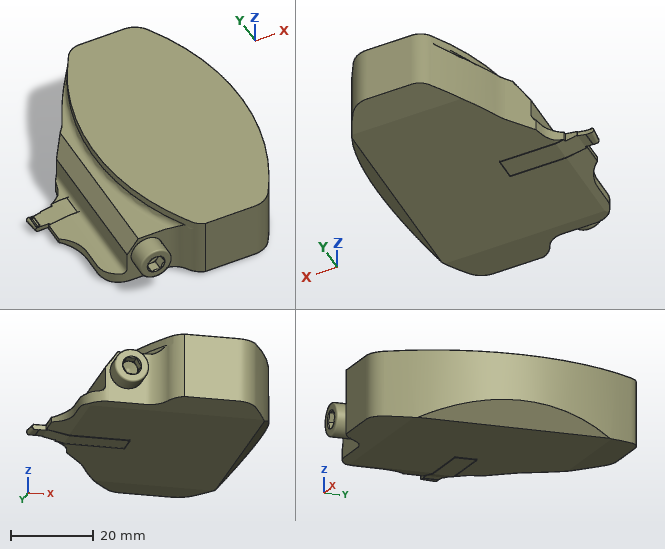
import cadquery as cq
import math

HEAD_HEIGHT = 17.1
HEAD_HALF_LENGTH = 35.0
HEAD_HALF_WIDTH = 20.2
LENS_RADIUS = 60.0
CORNER_RADIUS = 6.0
BACK_CORNER_RADIUS = 5.0
LENS_AXIS_X = LENS_RADIUS - HEAD_HALF_WIDTH

SIDE_CHAMFER = 5.45
END_RELIEF_START_Y = 25.75
END_RELIEF_RISE = 0.9

SHOULDER_Z = 13.4
COVE_RADIUS = 1.75
SHOULDER_FRONT_Y = -28.9
BLEND_RADIUS = 5.2
FRONT_CORNER_START_Y = -31.85
FRONT_CORNER_MID_Y = -33.45
FRONT_CORNER_END_X = -7.7
BACK_ARC_MID = (-16.25, 24.6)
BACK_ARC_END = (-20.4, 16.8)
BACK_SLOPE_START = (-21.7, 14.5)
BACK_SLOPE_END = (-26.75, 7.9)

WALL_X = -25.9
WALL_CHAMFER_WIDTH = 3.0
WALL_CHAMFER_BOTTOM_Z = 9.25
WALL_FOOT_RADIUS = 1.5

LEDGE_TOP_Z = 3.0
LEDGE_TIP_X = -34.8
LEDGE_TIP_FRONT_Y = -9.7
LEDGE_SIDE_X = -31.0
LEDGE_HOLLOW_RADIUS = 10.0
LEDGE_CORNER_RADIUS = 6.0
LEDGE_BACK_NECK = (-27.3, 5.7)
TAPER_START_X = -29.0
TAPER_END_X = -34.45
TIP_BOTTOM_Z = 0.9
TIP_TOP_Z = 2.2

BLADE_BOTTOM_Z = -0.2
BLADE_TOP_Z = 3.1
BLADE_INNER_X = -13.8
BLADE_FRONT_Y = -4.3
BLADE_BACK_Y = 1.5
BLADE_STEP_X = -31.2
BLADE_STEP_BACK_Y = 0.85
NECK_FRONT_Y = -3.85
NECK_BACK_Y = 0.2
NECK_BACK_START_Y = 0.6
CUTTER_INNER_X = -36.5
CUTTER_TIP_X = -38.6
CUTTER_SKEW = 0.5
CUTTER_BOTTOM_Z = 0.85
CUTTER_TOP_Z = 2.3
CUTTER_NOSE_RADIUS = 0.6
CHIP_GROOVE_OUTER_X = -37.8
CHIP_GROOVE_INNER_X = -36.7
CHIP_GROOVE_FLOOR_Z = 1.9
CHIP_GROOVE_END_WALL = 0.35

SCREW_X = -20.6
SCREW_Z = 8.2
SCREW_DIAMETER = 8.5
SCREW_LENGTH = 5.1
SCREW_EDGE = 0.4
SOCKET_CORNERS = 4.75
SOCKET_DEPTH = 2.8
SOCKET_CONE_DEPTH = 1.05

MARGIN = 7.0


def along_y(outline, y_from, y_to):
    """Extrude a closed XZ outline from y_from to y_to."""
    return outline.extrude(y_from - y_to).translate((0, y_from, 0))


def lens_corner(radius):
    """Tangent points and middle of a rounding at the (+X, +Y) corner of the head."""
    centre_y = HEAD_HALF_LENGTH - radius
    centre_distance = LENS_RADIUS - radius
    centre_x = math.sqrt(centre_distance**2 - centre_y**2) - LENS_AXIS_X
    side_angle = math.atan2(centre_y, centre_x + LENS_AXIS_X)
    middle_angle = (side_angle + math.pi / 2) / 2

    def on_corner(angle):
        return (centre_x + radius * math.cos(angle), centre_y + radius * math.sin(angle))

    return on_corner(side_angle), on_corner(middle_angle), on_corner(math.pi / 2)


def lens_side_x(y):
    """X of the bulging -X side of the head at a given Y."""
    return LENS_AXIS_X - math.sqrt(LENS_RADIUS**2 - y**2)


def shoulder_blend():
    """Points of the concave rounding from the lens side, tangent to it, to the shoulder front."""
    centre_y = SHOULDER_FRONT_Y - BLEND_RADIUS
    side_angle = math.asin(-centre_y / (LENS_RADIUS + BLEND_RADIUS))
    centre_x = LENS_AXIS_X - (LENS_RADIUS + BLEND_RADIUS) * math.cos(side_angle)

    def on_blend(angle):
        return (centre_x + BLEND_RADIUS * math.cos(angle), centre_y + BLEND_RADIUS * math.sin(angle))

    return on_blend(side_angle), on_blend((side_angle + math.pi / 2) / 2), on_blend(math.pi / 2)


def ledge_hollow():
    """Middle and end of the concave arc from the ledge tip, tangent to the ledge side."""
    width = LEDGE_SIDE_X - LEDGE_TIP_X
    turn = math.acos(1 - width / LEDGE_HOLLOW_RADIUS)
    centre_x = LEDGE_SIDE_X - LEDGE_HOLLOW_RADIUS
    end_y = LEDGE_TIP_FRONT_Y - LEDGE_HOLLOW_RADIUS * math.sin(turn)
    middle = (
        centre_x + LEDGE_HOLLOW_RADIUS * math.cos(turn / 2),
        end_y + LEDGE_HOLLOW_RADIUS * math.sin(turn / 2),
    )
    return middle, (LEDGE_SIDE_X, end_y)


def holder_plan():
    """Plan outline of head, shoulder and ledge together, extruded to full height."""
    side, corner, flat = lens_corner(CORNER_RADIUS)
    back_side, back_corner, back_flat = lens_corner(BACK_CORNER_RADIUS)
    blend_start, blend_mid, blend_end = shoulder_blend()
    front_corner_start = (lens_side_x(FRONT_CORNER_START_Y), FRONT_CORNER_START_Y)
    front_corner_mid = (lens_side_x(FRONT_CORNER_MID_Y), FRONT_CORNER_MID_Y)
    front_side_mid_y = (blend_start[1] + FRONT_CORNER_START_Y) / 2
    hollow_mid, hollow_end = ledge_hollow()
    ledge_corner_x = LEDGE_SIDE_X + LEDGE_CORNER_RADIUS
    ledge_corner_y = SHOULDER_FRONT_Y + LEDGE_CORNER_RADIUS
    diagonal = LEDGE_CORNER_RADIUS * math.sqrt(0.5)
    return (
        cq.Workplane("XY")
        .moveTo(flat[0], -flat[1])
        .threePointArc((corner[0], -corner[1]), (side[0], -side[1]))
        .threePointArc((HEAD_HALF_WIDTH, 0), side)
        .threePointArc(corner, flat)
        .lineTo(-back_flat[0], back_flat[1])
        .threePointArc((-back_corner[0], back_corner[1]), (-back_side[0], back_side[1]))
        .threePointArc(BACK_ARC_MID, BACK_ARC_END)
        .tangentArcPoint(BACK_SLOPE_START, relative=False)
        .lineTo(*BACK_SLOPE_END)
        .lineTo(*LEDGE_BACK_NECK)
        .tangentArcPoint((BLADE_STEP_X, BLADE_BACK_Y), relative=False)
        .lineTo(BLADE_STEP_X, BLADE_FRONT_Y)
        .lineTo(LEDGE_TIP_X, BLADE_FRONT_Y)
        .lineTo(LEDGE_TIP_X, LEDGE_TIP_FRONT_Y)
        .threePointArc(hollow_mid, hollow_end)
        .lineTo(LEDGE_SIDE_X, ledge_corner_y)
        .threePointArc(
            (ledge_corner_x - diagonal, ledge_corner_y - diagonal), (ledge_corner_x, SHOULDER_FRONT_Y)
        )
        .lineTo(*blend_end)
        .threePointArc(blend_mid, blend_start)
        .threePointArc((lens_side_x(front_side_mid_y), front_side_mid_y), front_corner_start)
        .threePointArc(front_corner_mid, (FRONT_CORNER_END_X, -HEAD_HALF_LENGTH))
        .close()
        .extrude(HEAD_HEIGHT)
    )


def rim_cut():
    """Ring around the -X lens side that lowers the shoulder and leaves a cove under the rim."""
    cove_top = SHOULDER_Z + COVE_RADIUS
    cove_outer = LENS_RADIUS + COVE_RADIUS
    bulge = COVE_RADIUS * (1 - math.sqrt(0.5))
    outer = LENS_RADIUS + 3 * MARGIN
    return (
        cq.Workplane("XZ")
        .moveTo(LENS_RADIUS, HEAD_HEIGHT + MARGIN)
        .lineTo(LENS_RADIUS, cove_top)
        .threePointArc((LENS_RADIUS + bulge, SHOULDER_Z + bulge), (cove_outer, SHOULDER_Z))
        .lineTo(outer, SHOULDER_Z)
        .lineTo(outer, HEAD_HEIGHT + MARGIN)
        .close()
        .revolve(360, (0, 0, 0), (0, 1, 0))
        .translate((LENS_AXIS_X, 0, 0))
    )


def ledge_cut():
    """Space above the ledge: taper, floor, foot rounding, upright wall and its chamfer."""
    foot_x = WALL_X - WALL_FOOT_RADIUS
    bulge = WALL_FOOT_RADIUS * (1 - math.sqrt(0.5))
    outline = (
        cq.Workplane("XZ")
        .moveTo(LEDGE_TIP_X - MARGIN, TIP_TOP_Z)
        .lineTo(TAPER_END_X, TIP_TOP_Z)
        .lineTo(TAPER_START_X, LEDGE_TOP_Z)
        .lineTo(foot_x, LEDGE_TOP_Z)
        .threePointArc((WALL_X - bulge, LEDGE_TOP_Z + bulge), (WALL_X, LEDGE_TOP_Z + WALL_FOOT_RADIUS))
        .lineTo(WALL_X, WALL_CHAMFER_BOTTOM_Z)
        .lineTo(WALL_X + WALL_CHAMFER_WIDTH, SHOULDER_Z)
        .lineTo(WALL_X + WALL_CHAMFER_WIDTH, HEAD_HEIGHT + MARGIN)
        .lineTo(LEDGE_TIP_X - MARGIN, HEAD_HEIGHT + MARGIN)
        .close()
    )
    return along_y(outline, -HEAD_HALF_LENGTH, HEAD_HALF_LENGTH)


def underside_taper(bottom_z):
    """Wedge under the thin end of the ledge or blade, whose flat underside is at bottom_z."""
    outline = cq.Workplane("XZ").polyline([
        (TAPER_START_X, bottom_z),
        (TAPER_END_X, TIP_BOTTOM_Z),
        (LEDGE_TIP_X - MARGIN, TIP_BOTTOM_Z),
        (LEDGE_TIP_X - MARGIN, bottom_z - MARGIN),
        (TAPER_START_X, bottom_z - MARGIN),
    ]).close()
    return along_y(outline, -HEAD_HALF_LENGTH, HEAD_HALF_LENGTH)


def side_chamfer_cut():
    """45 degree wedge under the +X side of the head."""
    outline = cq.Workplane("XZ").polyline([
        (HEAD_HALF_WIDTH - SIDE_CHAMFER, 0),
        (HEAD_HALF_WIDTH + MARGIN, SIDE_CHAMFER + MARGIN),
        (HEAD_HALF_WIDTH + MARGIN, 0),
    ]).close()
    return along_y(outline, -HEAD_HALF_LENGTH, HEAD_HALF_LENGTH)


def end_relief_cut():
    """Shallow wedge that lifts the underside towards the +Y end."""
    return (
        cq.Workplane("YZ")
        .polyline([
            (END_RELIEF_START_Y, 0),
            (HEAD_HALF_LENGTH, END_RELIEF_RISE),
            (HEAD_HALF_LENGTH, 0),
        ])
        .close()
        .extrude(HEAD_HALF_LENGTH, both=True)
    )


def screw_socket():
    """Hexagon socket with a countersunk mouth and a conical floor, opening towards -Y."""
    corner_radius = SOCKET_CORNERS / 2
    flat_radius = corner_radius * math.cos(math.pi / 6)
    mouth_depth = corner_radius - flat_radius
    mouth_y = SHOULDER_FRONT_Y - SCREW_LENGTH
    hexagon = (
        cq.Workplane("XZ", origin=(SCREW_X, mouth_y, SCREW_Z))
        .polygon(6, SOCKET_CORNERS)
        .extrude(-SOCKET_DEPTH)
    )
    mouth_and_floor = (
        cq.Workplane("XY")
        .polyline([
            (0, 0),
            (corner_radius, 0),
            (flat_radius, mouth_depth),
            (flat_radius, SOCKET_DEPTH),
            (0, SOCKET_DEPTH + SOCKET_CONE_DEPTH),
        ])
        .close()
        .revolve(360, (0, 0, 0), (0, 1, 0))
        .translate((SCREW_X, mouth_y, SCREW_Z))
    )
    return hexagon.union(mouth_and_floor)


def screw_head():
    """Cylindrical screw head standing on the front of the shoulder."""
    return (
        cq.Workplane("XZ", origin=(SCREW_X, SHOULDER_FRONT_Y, SCREW_Z))
        .circle(SCREW_DIAMETER / 2)
        .extrude(SCREW_LENGTH)
        .faces("<Y")
        .edges()
        .fillet(SCREW_EDGE)
        .cut(screw_socket())
    )


def blade_blank():
    """Straight shank of the blade, from its inner end to the outer taper end."""
    return (
        cq.Workplane("XY", origin=(0, 0, BLADE_BOTTOM_Z))
        .polyline([
            (BLADE_INNER_X, BLADE_FRONT_Y),
            (BLADE_INNER_X, BLADE_BACK_Y),
            (BLADE_STEP_X, BLADE_BACK_Y),
            (BLADE_STEP_X, BLADE_STEP_BACK_Y),
            (TAPER_END_X, BLADE_STEP_BACK_Y),
            (TAPER_END_X, BLADE_FRONT_Y),
        ])
        .close()
        .extrude(BLADE_TOP_Z - BLADE_BOTTOM_Z)
    )


def blade_upper_taper():
    """Wedge above the thin end of the blade."""
    outline = cq.Workplane("XZ").polyline([
        (TAPER_START_X, BLADE_TOP_Z),
        (TAPER_END_X, TIP_TOP_Z),
        (TAPER_END_X, BLADE_TOP_Z),
    ]).close()
    return along_y(outline, BLADE_FRONT_Y, BLADE_BACK_Y)


def blade_neck():
    """Thin neck between the shank and the cutter."""
    return (
        cq.Workplane("XY", origin=(0, 0, TIP_BOTTOM_Z))
        .polyline([
            (TAPER_END_X, NECK_FRONT_Y),
            (TAPER_END_X, NECK_BACK_START_Y),
            (CUTTER_INNER_X, NECK_BACK_Y),
            (CUTTER_INNER_X, NECK_FRONT_Y),
        ])
        .close()
        .extrude(TIP_TOP_Z - TIP_BOTTOM_Z)
    )


def cutter():
    """Rounded cutting nose at the end of the neck, with a skewed front edge."""
    return (
        cq.Workplane("XY", origin=(0, 0, CUTTER_BOTTOM_Z))
        .polyline([
            (CUTTER_INNER_X, NECK_FRONT_Y),
            (CUTTER_INNER_X, NECK_BACK_Y),
            (CUTTER_TIP_X, NECK_BACK_Y),
            (CUTTER_TIP_X + CUTTER_SKEW, NECK_FRONT_Y),
        ])
        .close()
        .extrude(CUTTER_TOP_Z - CUTTER_BOTTOM_Z)
        .faces("<X")
        .edges("not |Z")
        .fillet(CUTTER_NOSE_RADIUS)
    )


def behind_cutting_lip():
    """Slab that lowers the cutter to the neck height behind its cutting lip."""
    return cq.Workplane("XY").box(
        CUTTER_INNER_X - CHIP_GROOVE_OUTER_X,
        NECK_BACK_Y - NECK_FRONT_Y,
        CUTTER_TOP_Z - TIP_TOP_Z,
        centered=False,
    ).translate((CHIP_GROOVE_OUTER_X, NECK_FRONT_Y, TIP_TOP_Z))


def chip_groove():
    """Closed-ended groove along the cutting lip, sloping down from it."""
    slope_width = (CHIP_GROOVE_INNER_X - CHIP_GROOVE_OUTER_X) / 2
    outline = cq.Workplane("XZ").polyline([
        (CHIP_GROOVE_OUTER_X, TIP_TOP_Z),
        (CHIP_GROOVE_OUTER_X + slope_width, CHIP_GROOVE_FLOOR_Z),
        (CHIP_GROOVE_INNER_X, CHIP_GROOVE_FLOOR_Z),
        (CHIP_GROOVE_INNER_X, TIP_TOP_Z),
    ]).close()
    return along_y(outline, NECK_FRONT_Y + CHIP_GROOVE_END_WALL, NECK_BACK_Y - CHIP_GROOVE_END_WALL)


def build_blade():
    """The blade: tapered shank, neck and grooved cutter as one solid."""
    shank = blade_blank().cut(blade_upper_taper()).cut(underside_taper(BLADE_BOTTOM_Z))
    grooved_cutter = cutter().cut(behind_cutting_lip()).cut(chip_groove())
    return shank.union(blade_neck()).union(grooved_cutter)


def build_holder():
    """The holder: head, shoulder, ledge and screw head, with a pocket that fits the blade."""
    back_relief = end_relief_cut()
    front_relief = back_relief.mirror("XZ")
    return (
        holder_plan()
        .cut(rim_cut())
        .cut(ledge_cut())
        .cut(underside_taper(0))
        .cut(side_chamfer_cut())
        .cut(back_relief)
        .cut(front_relief)
        .union(screw_head())
        .cut(blade_blank())
    )


holder = build_holder()
blade = build_blade()

result = cq.Compound.makeCompound([holder.solids().val(), blade.solids().val()])